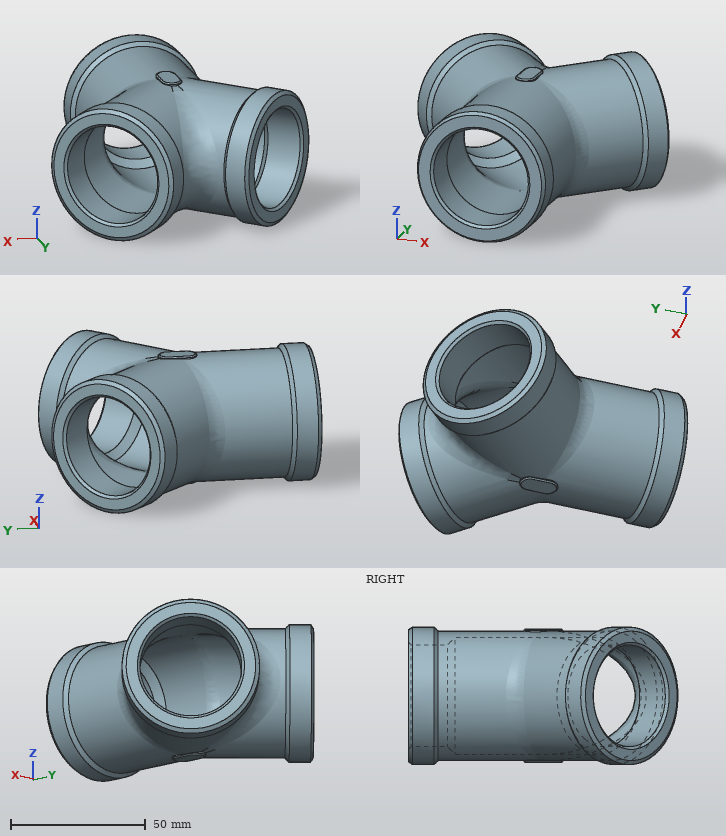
import math

import cadquery as cq

RUN_ANGLE = -90.0
LEFT_ANGLE = 135.0
RIGHT_ANGLE = 45.0
RUN_LENGTH = 50.0
BRANCH_LENGTH = 46.0

PIPE_DIAMETER = 48.0
BAND_DIAMETER = 51.0
BAND_LENGTH = 9.5
BAND_CONE = (BAND_DIAMETER - PIPE_DIAMETER) / 2

RUN_CHAMFER = (1.5, 1.0)
BRANCH_CHAMFER = (1.0, 1.5)

SOCKET_DIAMETER = 37.7
CHAMBER_DIAMETER = 43.4
SOCKET_DEPTH = 14.4
MOUTH_CHAMFER = 1.0
CHAMBER_CONE = (CHAMBER_DIAMETER - SOCKET_DIAMETER) / 2

OUTER_BLEND = 10.0
CHAMBER_BLEND = OUTER_BLEND - (PIPE_DIAMETER - CHAMBER_DIAMETER) / 2
BLEND_SWEEP = 82.0
BLEND_STEPS = 14
BLEND_SINK = 0.005
BLEND_ROOT = 0.75

PAD_LENGTH = 14.5
PAD_WIDTH = 7.6
PAD_HEIGHT = 0.7
PAD_CHAMFER = 0.5

ARMS = [
    (RUN_ANGLE, RUN_LENGTH, RUN_CHAMFER),
    (RIGHT_ANGLE, BRANCH_LENGTH, BRANCH_CHAMFER),
    (LEFT_ANGLE, BRANCH_LENGTH, BRANCH_CHAMFER),
]


def direction(angle):
    return cq.Vector(math.cos(math.radians(angle)), math.sin(math.radians(angle)), 0)


def revolved_arm(profile, angle):
    """Turn a (radius, distance) profile about the arm axis that points along the angle."""
    section = cq.Plane(origin=(0, 0, 0), xDir=(0, 0, 1), normal=direction(angle + 90))
    return cq.Workplane(section).polyline(profile).close().revolve(360, (0, 0, 0), (0, 1, 0))


def outer_arm(angle, length, face_chamfer):
    pipe_radius = PIPE_DIAMETER / 2
    band_radius = BAND_DIAMETER / 2
    chamfer_length, chamfer_depth = face_chamfer
    band_end = length - chamfer_length
    band_start = band_end - BAND_LENGTH
    profile = [
        (0, 0),
        (pipe_radius, 0),
        (pipe_radius, band_start),
        (band_radius, band_start + BAND_CONE),
        (band_radius, band_end),
        (band_radius - chamfer_depth, length),
        (0, length),
    ]
    return revolved_arm(profile, angle)


def inner_arm(angle, length):
    chamber_radius = CHAMBER_DIAMETER / 2
    socket_radius = SOCKET_DIAMETER / 2
    socket_end = length - SOCKET_DEPTH
    profile = [
        (0, 0),
        (chamber_radius, 0),
        (chamber_radius, socket_end - CHAMBER_CONE),
        (socket_radius, socket_end),
        (socket_radius, length - MOUTH_CHAMFER),
        (socket_radius + MOUTH_CHAMFER, length),
        (0, length),
    ]
    return revolved_arm(profile, angle)


def blend_section(first_angle, second_angle, pipe_radius, ball_radius, tilt):
    """Wire across the gap between two pipes, in the plane of the ball's two contact points."""
    half_angle = math.radians(second_angle - first_angle) / 2
    middle = direction((first_angle + second_angle) / 2)
    rise = cq.Vector(0, 0, math.sin(math.radians(tilt)))
    reach = (pipe_radius + ball_radius) * math.cos(math.radians(tilt))

    centre = middle * (reach / math.sin(half_angle)) + rise * (pipe_radius + ball_radius)
    contacts = []
    for angle in (first_angle, second_angle):
        foot = direction(angle) * (reach / math.tan(half_angle))
        contacts.append(centre + (foot - centre) * (ball_radius / (pipe_radius + ball_radius)))
    inward = (contacts[0] + contacts[1]) * 0.5 - centre
    lowest = centre + inward.normalized() * ball_radius
    root = centre + inward * (1 + BLEND_ROOT * pipe_radius / ball_radius)
    edges = [
        cq.Edge.makeThreePointArc(contacts[0], lowest, contacts[1]),
        cq.Edge.makeLine(contacts[1], root),
        cq.Edge.makeLine(root, contacts[0]),
    ]
    return cq.Wire.assembleEdges(edges)


def blend(first_angle, second_angle, pipe_radius, ball_radius):
    sections = []
    for step in range(BLEND_STEPS + 1):
        tilt = BLEND_SWEEP * (2 * step / BLEND_STEPS - 1)
        sections.append(blend_section(first_angle, second_angle, pipe_radius, ball_radius, tilt))
    return cq.Workplane(cq.Solid.makeLoft(sections))


def joined(arms, pipe_radius, ball_radius):
    """Join the arms and blend every pair of neighbours."""
    body = arms[0]
    for arm in arms[1:]:
        body = body.union(arm)
    neighbours = [
        (RUN_ANGLE, RIGHT_ANGLE),
        (RIGHT_ANGLE, LEFT_ANGLE),
        (LEFT_ANGLE, RUN_ANGLE + 360),
    ]
    for first_angle, second_angle in neighbours:
        body = body.union(blend(first_angle, second_angle, pipe_radius - BLEND_SINK, ball_radius))
    return body


def label_pad():
    """Rounded pad above the junction, rooted in the middle of the pipe wall."""
    root_height = (PIPE_DIAMETER + CHAMBER_DIAMETER) / 4
    top_height = PIPE_DIAMETER / 2 + PAD_HEIGHT
    pad = cq.Workplane("XY").workplane(offset=root_height).slot2D(PAD_LENGTH, PAD_WIDTH, 90)
    return pad.extrude(top_height - root_height).faces(">Z").chamfer(PAD_CHAMFER)


outer_arms = [outer_arm(angle, length, face_chamfer) for angle, length, face_chamfer in ARMS]
outside = joined(outer_arms, PIPE_DIAMETER / 2, OUTER_BLEND)
top_pad = label_pad()
outside = outside.union(top_pad).union(top_pad.mirror("XY"))

inner_arms = [inner_arm(angle, length) for angle, length, _ in ARMS]
cavity = joined(inner_arms, CHAMBER_DIAMETER / 2, CHAMBER_BLEND)
result = outside.cut(cavity)